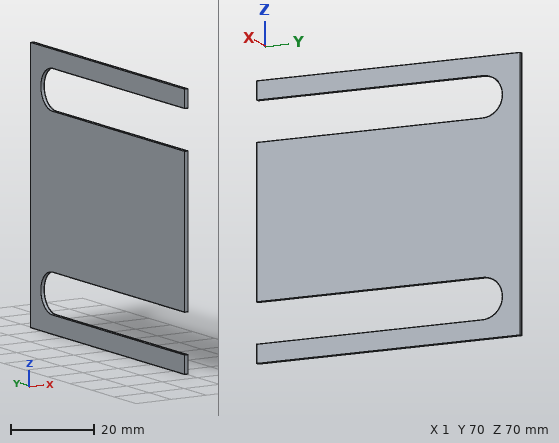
import cadquery as cq

side = 70.0
thickness = 1.0

slot_width = 10.5
slot_inset = 10.0

slot_radius = slot_width / 2
slot_end_y = side / 2 - slot_inset
slot_z = side / 2 - slot_inset


def open_slot(center_z):
    """Cutter running from the -Y edge to a half-round end near the +Y edge."""
    return (
        cq.Workplane("YZ")
        .moveTo(-side / 2, center_z - slot_radius)
        .lineTo(slot_end_y, center_z - slot_radius)
        .threePointArc(
            (slot_end_y + slot_radius, center_z),
            (slot_end_y, center_z + slot_radius),
        )
        .lineTo(-side / 2, center_z + slot_radius)
        .close()
        .extrude(thickness / 2, both=True)
    )


result = cq.Workplane("XY").box(thickness, side, side)
for center_z in (-slot_z, slot_z):
    result = result.cut(open_slot(center_z))